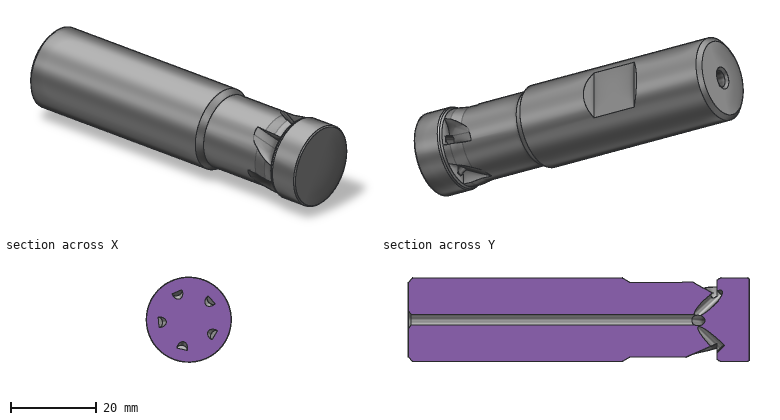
import cadquery as cq
import math

length = 80.0
shank_radius = 10.0
shank_length = 50.2
rear_chamfer_length = 1.0
rear_chamfer_height = 1.1

neck_radius = 18.0 / 2
neck_start = 51.9
flare_start = 67.4
flare_end = 70.5
flare_radius = 9.4

head_start = 72.4
head_step_length = 0.5
head_step_radius = 9.8
head_front_chamfer = 0.3

clamp_flat_start = 19.4
clamp_flat_end = 30.6
clamp_flat_height = 8.2

cutter_clearance = 0.8

bore_radius = 2.0
bore_mouth_radius = 2.6
bore_depth = 67.6

flute_count = 5
flute_angle = 57.0
flute_length = 9.6
flute_slope_angle = 24.0
flute_lead_angle = 5.0
flute_wall_side = 0.6
flute_root_height = 5.7
flute_floor_height = 5.5
flute_floor_side = 2.7
flute_floor_radius = 5.2
flute_floor_centre_side = 4.0
flute_floor_arc = 50.0

coolant_radius = 1.2
coolant_angle_from_wall = 16.0
coolant_tilt = 45.0
coolant_mouth_x = 72.2
coolant_mouth_height = 5.9
coolant_overrun = 1.6


def turned_body():
    """Shank, neck and cutting head as one turned profile."""
    profile = (
        cq.Workplane("XY")
        .moveTo(0, 0)
        .lineTo(0, shank_radius - rear_chamfer_height)
        .lineTo(rear_chamfer_length, shank_radius)
        .lineTo(shank_length, shank_radius)
        .lineTo(neck_start, neck_radius)
        .lineTo(flare_start, neck_radius)
        .lineTo(flare_end, flare_radius)
        .lineTo(head_start, flare_radius)
        .lineTo(head_start + head_step_length, head_step_radius)
        .lineTo(head_start + 2 * head_step_length, shank_radius)
        .lineTo(length - head_front_chamfer, shank_radius)
        .lineTo(length, shank_radius - head_front_chamfer)
        .lineTo(length, 0)
        .close()
    )
    return profile.revolve(360, (0, 0, 0), (1, 0, 0))


def clamp_flat():
    """Clamping flat on the +Y side of the shank, with 45 degree ends."""
    rise = shank_radius - clamp_flat_height + cutter_clearance
    return (
        cq.Workplane("XY")
        .moveTo(clamp_flat_start, clamp_flat_height)
        .lineTo(clamp_flat_end, clamp_flat_height)
        .lineTo(clamp_flat_end + rise, clamp_flat_height + rise)
        .lineTo(clamp_flat_start - rise, clamp_flat_height + rise)
        .close()
        .extrude(shank_radius, both=True)
    )


def central_bore():
    """Blind bore from the rear face with a 45 degree countersunk mouth."""
    return (
        cq.Workplane("XY")
        .lineTo(0, bore_mouth_radius)
        .lineTo(bore_mouth_radius - bore_radius, bore_radius)
        .lineTo(bore_depth, bore_radius)
        .lineTo(bore_depth, 0)
        .close()
        .revolve(360, (0, 0, 0), (1, 0, 0))
    )


def flute():
    """Flute facing -Y: its section at the head, swept back and outward in a straight line."""
    open_height = shank_radius + cutter_clearance
    centre_height = flute_floor_height + math.sqrt(
        flute_floor_radius**2 - (flute_floor_centre_side - flute_floor_side) ** 2
    )

    def floor_point(arc_angle):
        """Point of the floor arc, the angle measured from its lowest point toward its outer end."""
        height = centre_height - flute_floor_radius * math.cos(math.radians(arc_angle))
        side = flute_floor_centre_side + flute_floor_radius * math.sin(math.radians(arc_angle))
        return -height, -side

    section = (
        cq.Workplane("YZ", origin=(head_start, 0, 0))
        .moveTo(-open_height, -flute_wall_side)
        .lineTo(-flute_root_height, -flute_wall_side)
        .lineTo(-flute_floor_height, -flute_floor_side)
        .threePointArc(floor_point(flute_floor_arc / 2), floor_point(flute_floor_arc))
        .lineTo(-open_height, floor_point(flute_floor_arc)[1])
        .close()
    )
    sweep = cq.Vector(
        -flute_length,
        -flute_length * math.tan(math.radians(flute_slope_angle)),
        flute_length * math.tan(math.radians(flute_lead_angle)),
    )
    return cq.Workplane(cq.Solid.extrudeLinear(section.wires().val(), [], sweep))


def coolant_hole():
    """Hole from the tool axis out to the floor of the flute facing -Y."""
    tilt = math.radians(coolant_tilt)
    start = cq.Vector(coolant_mouth_x - coolant_mouth_height / math.tan(tilt), 0, 0)
    direction = cq.Vector(math.cos(tilt), -math.sin(tilt), 0)
    hole_length = coolant_mouth_height / math.sin(tilt) + coolant_overrun
    hole = cq.Solid.makeCylinder(coolant_radius, hole_length, start, direction)
    return cq.Workplane(hole).rotate((0, 0, 0), (1, 0, 0), coolant_angle_from_wall)


def turned_about_axis(cutter, angle):
    """Turn a cutter about the tool axis, from -Y toward +Z."""
    return cutter.rotate((0, 0, 0), (1, 0, 0), -angle)


result = turned_body().cut(clamp_flat()).cut(central_bore())
for index in range(flute_count):
    angle = flute_angle + index * 360.0 / flute_count
    result = result.cut(turned_about_axis(flute(), angle))
    result = result.cut(turned_about_axis(coolant_hole(), angle))